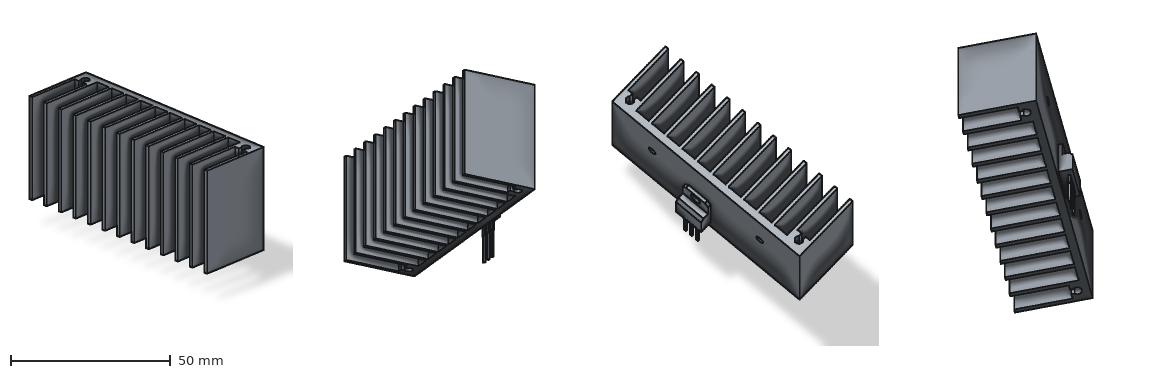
import cadquery as cq


sink_width = 78.75
sink_depth = 25.0
sink_height = 35.6
base_thickness = 2.75
fin_count = 13
fin_thickness = 1.25
fin_pitch = (sink_width - fin_thickness) / (fin_count - 1)
gap_width = fin_pitch - fin_thickness

boss_depth = 6.2
keyhole_diameter = 2.7
keyhole_center_depth = 4.0
keyhole_neck = 1.7

hole_diameter = 2.8
side_hole_gaps = (2, 9)
side_hole_z = 22.05
transistor_gap = 6
transistor_hole_z = 16.1

package_width = 10.55
package_thickness = 4.6
package_bottom_z = 3.3
package_top_z = 12.4
package_chamfer = 1.2
tab_thickness = 1.25
tab_top_z = 19.0
tab_chamfer = 1.3
tab_hole_diameter = 3.85
lead_count = 3
lead_pitch = 2.5
lead_width = 0.9
lead_shoulder_width = 1.6
lead_thickness = 0.7
lead_center_y = 3.1
lead_shoulder_z = -0.7
lead_tip_z = -9.7


def gap_center_x(index):
    """X of the middle of a gap between two neighboring fins."""
    return -sink_width / 2 + fin_thickness / 2 + (index + 0.5) * fin_pitch


def box(x_center, width, y_min, y_max, z_min, z_max):
    """Box centered on x_center and spanning the given Y and Z limits."""
    return (
        cq.Workplane("XY")
        .box(width, y_max - y_min, z_max - z_min, centered=(True, False, False))
        .translate((x_center, y_min, z_min))
    )


def round_hole(x, z, diameter, y_min, y_max):
    """Cylinder along Y, used to cut a through hole."""
    return (
        cq.Workplane("XZ", origin=(x, y_max, z))
        .circle(diameter / 2)
        .extrude(y_max - y_min)
    )


def keyhole_channel(x):
    """Round channel with a narrow neck that opens toward the fins."""
    channel = (
        cq.Workplane("XY")
        .center(x, -keyhole_center_depth)
        .circle(keyhole_diameter / 2)
        .extrude(sink_height)
    )
    neck = box(x, keyhole_neck, -boss_depth, -keyhole_center_depth, 0, sink_height)
    return channel.union(neck)


def make_heatsink():
    sink = box(0, sink_width, -sink_depth, 0, 0, sink_height)

    last_gap = fin_count - 2
    for index in range(fin_count - 1):
        x = gap_center_x(index)
        is_outermost = index in (0, last_gap)
        floor_depth = boss_depth if is_outermost else base_thickness
        sink = sink.cut(box(x, gap_width, -sink_depth, -floor_depth, 0, sink_height))
        if is_outermost:
            sink = sink.cut(keyhole_channel(x))

    hole_places = [(index, side_hole_z) for index in side_hole_gaps]
    hole_places.append((transistor_gap, transistor_hole_z))
    for index, z in hole_places:
        sink = sink.cut(round_hole(gap_center_x(index), z, hole_diameter, -base_thickness, 0))
    return sink


def make_lead(x):
    """Straight lead with a wider shoulder next to the package."""
    y_min = lead_center_y - lead_thickness / 2
    y_max = lead_center_y + lead_thickness / 2
    shoulder = box(x, lead_shoulder_width, y_min, y_max, lead_shoulder_z, package_bottom_z)
    pin = box(x, lead_width, y_min, y_max, lead_tip_z, lead_shoulder_z)
    return shoulder.union(pin)


def make_transistor():
    x = gap_center_x(transistor_gap)

    tab = box(x, package_width, 0, tab_thickness, package_bottom_z, tab_top_z)
    tab = tab.edges("|Y and >Z").chamfer(tab_chamfer)
    tab = tab.cut(round_hole(x, transistor_hole_z, tab_hole_diameter, 0, tab_thickness))

    package = box(x, package_width, tab_thickness, package_thickness, package_bottom_z, package_top_z)
    package = package.edges(">Y and >Z").chamfer(package_chamfer)

    transistor = tab.union(package)
    for index in range(lead_count):
        lead_offset = (index - (lead_count - 1) / 2) * lead_pitch
        transistor = transistor.union(make_lead(x + lead_offset))
    return transistor


heatsink = make_heatsink()
transistor = make_transistor()
result = cq.Compound.makeCompound([heatsink.val(), transistor.val()])